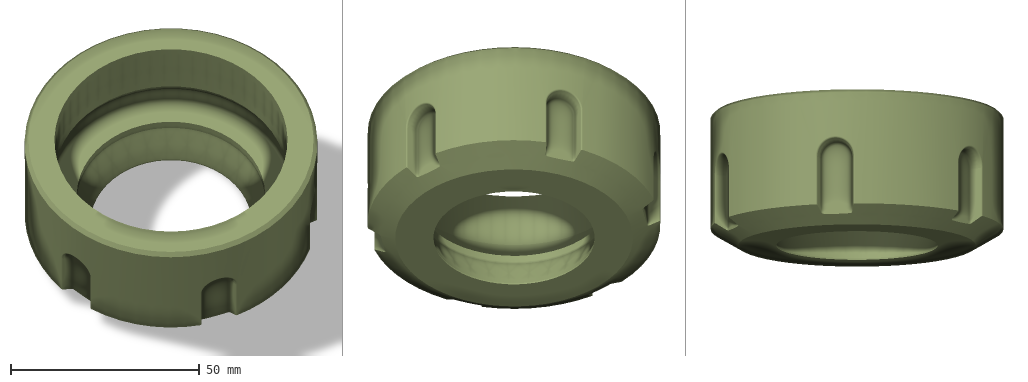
import cadquery as cq
import math

outer_radius = 38.85
height = 35.3
top_chamfer = 1.0
base_radius = 31.55
base_cone_height = 4.35

bore_radius = 30.9
relief_radius = 32.25
relief_cone_top = 19.5
relief_cone_height = 2.7
floor_height = 11.8
floor_fillet = 0.8
seat_radius = 25.0
seat_depth = 2.6
opening_diameter = 42.8
opening_radius = opening_diameter / 2
opening_land = 0.4

slot_count = 6
slot_floor_distance = 35.3
slot_floor_width = 8.1
slot_draft = 15.0
slot_arc_height = 17.25
slot_floor_fillet = 0.6
slot_rim_round = 0.4
rim_tolerance = 0.1
slot_overshoot = 4.7


def make_ring():
    """Revolve the wall section, keeping the inside and outside steps in one profile."""
    seat_bottom = floor_height - seat_depth
    corner_offset = floor_fillet * (1 - math.sqrt(0.5))
    return (
        cq.Workplane("XZ")
        .moveTo(opening_radius, 0)
        .lineTo(base_radius, 0)
        .lineTo(outer_radius, base_cone_height)
        .lineTo(outer_radius, height - top_chamfer)
        .lineTo(outer_radius - top_chamfer, height)
        .lineTo(bore_radius, height)
        .lineTo(bore_radius, relief_cone_top)
        .lineTo(relief_radius, relief_cone_top - relief_cone_height)
        .lineTo(relief_radius, floor_height + floor_fillet)
        .threePointArc(
            (relief_radius - corner_offset, floor_height + corner_offset),
            (relief_radius - floor_fillet, floor_height),
        )
        .lineTo(seat_radius, floor_height)
        .lineTo(seat_radius, seat_bottom)
        .lineTo(opening_radius, opening_land)
        .close()
        .revolve(360, (0, 0, 0), (0, 1, 0))
    )


def make_slot_cutter():
    """Round-topped slot on the -Y side, flaring outward from a flat floor and open below."""
    half_width = slot_floor_width / 2
    cutter = (
        cq.Workplane("XZ", origin=(0, -slot_floor_distance, 0))
        .moveTo(-half_width, -slot_overshoot)
        .lineTo(half_width, -slot_overshoot)
        .lineTo(half_width, slot_arc_height)
        .threePointArc((0, slot_arc_height + half_width), (-half_width, slot_arc_height))
        .close()
        .extrude(slot_overshoot, taper=-slot_draft)
    )
    return cutter.faces(">Y").edges().fillet(slot_floor_fillet)


def cut_slots(body):
    cutter = make_slot_cutter()
    for index in range(slot_count):
        angle = index * 360 / slot_count
        body = body.cut(cutter.rotate((0, 0, 0), (0, 0, 1), angle))
    return body


def round_slot_rims(body):
    """Round the slot edges on the outer cylinder, leaving the bottom cone edges sharp."""
    def is_slot_rim(edge):
        middle = edge.positionAt(0.5)
        on_cylinder = abs(math.hypot(middle.x, middle.y) - outer_radius) < rim_tolerance
        between_ends = base_cone_height + rim_tolerance < middle.z < height - top_chamfer - rim_tolerance
        return on_cylinder and between_ends and edge.geomType() != "LINE"

    rims = body.edges().filter(is_slot_rim)
    return rims.fillet(slot_rim_round)


result = round_slot_rims(cut_slots(make_ring()))